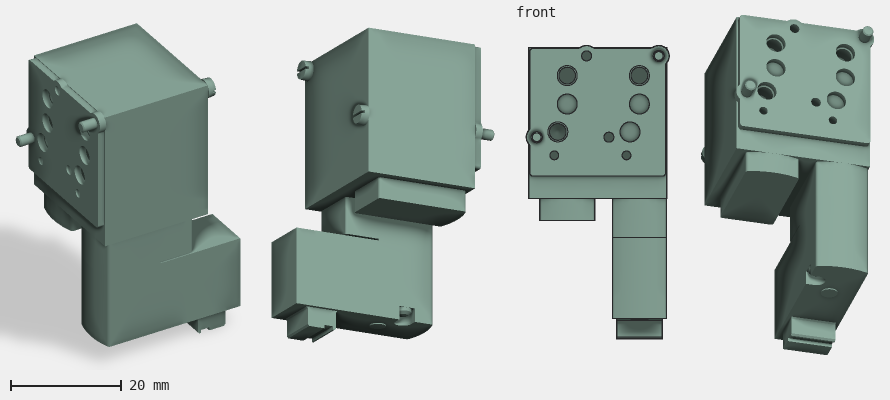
import cadquery as cq

VALVE_PITCH = 13.0

HOUSING_WIDTH = 24.95
HOUSING_DEPTH = 21.65
HOUSING_HEIGHT = 27.25

PLATE_WIDTH = 24.4
PLATE_THICKNESS = 1.3
PLATE_BOTTOM = 4.0
PLATE_SETBACK = 0.15
PLATE_TOP = HOUSING_HEIGHT - PLATE_SETBACK
PLATE_CORNER_RADIUS = 0.55
EAR_RADIUS = 1.9

UPPER_MOUNT_X = 11.0
UPPER_MOUNT_Z = 25.7
LOWER_MOUNT_Z = 11.05
SCREW_POINTS = [(UPPER_MOUNT_X, UPPER_MOUNT_Z), (-UPPER_MOUNT_X, LOWER_MOUNT_Z)]
SPARE_TOP_POINT = (UPPER_MOUNT_X - VALVE_PITCH, UPPER_MOUNT_Z)
SPARE_LOWER_POINT = (VALVE_PITCH - UPPER_MOUNT_X, LOWER_MOUNT_Z)
EAR_POINTS = SCREW_POINTS + [SPARE_TOP_POINT]

MOUNT_HOLE_DIAMETER = 1.8
PIN_HOLE_DIAMETER = 1.6
BLIND_HOLE_DEPTH = 2.65
PIN_HOLE_POINTS = [(-7.85, 7.8), (-7.85 + VALVE_PITCH, 7.8)]

PORT_DIAMETER = 3.6
BORE_DIAMETER = 3.0
BORE_DEPTH = 3.2
DRILL_TIP_DEPTH = 0.9
UPPER_PORT_X = -5.5
UPPER_PORT_Z = 22.15
MIDDLE_PORT_Z = 17.05
LOWER_PORT_X = -7.2
LOWER_PORT_Z = 12.0
UPPER_PORTS = [(UPPER_PORT_X, UPPER_PORT_Z), (UPPER_PORT_X + VALVE_PITCH, UPPER_PORT_Z)]
MIDDLE_PORTS = [(UPPER_PORT_X, MIDDLE_PORT_Z), (UPPER_PORT_X + VALVE_PITCH, MIDDLE_PORT_Z)]
DRILLED_PORT = (LOWER_PORT_X, LOWER_PORT_Z)
LOWER_PORTS = [DRILLED_PORT, (LOWER_PORT_X + VALVE_PITCH, LOWER_PORT_Z)]

SCREW_DIAMETER = 2.0
SCREW_TIP_DIAMETER = 1.6
SCREW_TIP_Y = -4.25
HEAD_BASE_DIAMETER = 3.7
HEAD_END_DIAMETER = 3.45
HEAD_LENGTH = 1.55
DRIVE_SLOT_WIDTH = 0.5
DRIVE_SLOT_DEPTH = 0.65

RIGHT_STUB_X = 7.5
LEFT_STUB_X = RIGHT_STUB_X - VALVE_PITCH
LEFT_STUB_WIDTH = 9.95
RIGHT_STUB_WIDTH = 9.8
STUB_DEPTH = 18.45
LEFT_STUB_BOTTOM = -3.95
RIGHT_STUB_BOTTOM = -7.0
FRONT_BULGE = 0.85
FRONT_CORNER_RADIUS = 0.6
LEFT_BACK_RADIUS = 0.5
RIGHT_BACK_RADIUS = 0.35

CONNECTOR_DEPTH = 28.45
CONNECTOR_BOTTOM = -21.65
STEP_Y = 11.75
STEP_HEIGHT = 0.3

RECESS_WIDTH = 3.2
RECESS_HEIGHT = 2.55
RECESS_Y = 6.05
RECESS_X = RIGHT_STUB_X - RIGHT_STUB_WIDTH / 2 + RECESS_WIDTH / 2
CLAMP_SCREW_DIAMETER = 3.05
CLAMP_SCREW_END_DIAMETER = 1.8
CLAMP_SCREW_RIM = 0.65
CLAMP_SCREW_HEIGHT = 1.1

DISC_DIAMETER = 3.0
DISC_THICKNESS = 0.2
DISC_Y = 9.45
GLAND_WIDTH = 8.25
GLAND_DEPTH = 5.75
GLAND_Y = 22.9
GLAND_HEIGHT = 3.65
GLAND_FLARE = 0.2
GLAND_FLARE_HEIGHT = 0.3
GLAND_CHAMFER = 0.3
GLAND_NOTCH_FRONT_Y = 20.7
GLAND_NOTCH_WIDTH = 1.75
GLAND_NOTCH_DEPTH = 0.65


def rods(points, diameter, front_y, back_y):
    """Cylinders along Y, from front_y to back_y, at the given (x, z) points."""
    plane = cq.Workplane("XZ", origin=(0, front_y, 0))
    return plane.pushPoints(points).circle(diameter / 2).extrude(front_y - back_y)


def drill_tip(point):
    """Cone that ends a drilled bore."""
    x, z = point
    profile = [(0, BORE_DEPTH), (BORE_DIAMETER / 2, BORE_DEPTH), (0, BORE_DEPTH + DRILL_TIP_DEPTH)]
    return cq.Workplane("XY").polyline(profile).close().revolve(360, (0, 0), (0, 1)).translate((x, 0, z))


def make_housing():
    block = cq.Workplane("XY").box(
        HOUSING_WIDTH, HOUSING_DEPTH, HOUSING_HEIGHT, centered=(True, False, False)
    )
    block = block.cut(rods(SCREW_POINTS, SCREW_DIAMETER, 0, HOUSING_DEPTH))
    block = block.cut(rods([SPARE_TOP_POINT, SPARE_LOWER_POINT], MOUNT_HOLE_DIAMETER, 0, BLIND_HOLE_DEPTH))
    block = block.cut(rods(PIN_HOLE_POINTS, PIN_HOLE_DIAMETER, 0, BLIND_HOLE_DEPTH))
    block = block.cut(rods(UPPER_PORTS + [DRILLED_PORT], BORE_DIAMETER, 0, BORE_DEPTH))
    return block.cut(drill_tip(DRILLED_PORT))


def make_plate():
    sheet = cq.Workplane("XY").box(
        PLATE_WIDTH, PLATE_THICKNESS, PLATE_TOP - PLATE_BOTTOM, centered=(True, False, False)
    )
    sheet = sheet.translate((0, -PLATE_THICKNESS, PLATE_BOTTOM))
    sheet = sheet.union(rods(EAR_POINTS, 2 * EAR_RADIUS, -PLATE_THICKNESS, 0))
    corners = sheet.edges("|Y").filter(lambda edge: abs(edge.Center().x) < HOUSING_WIDTH / 2)
    sheet = corners.fillet(PLATE_CORNER_RADIUS)

    ports = UPPER_PORTS + MIDDLE_PORTS + LOWER_PORTS
    sheet = sheet.cut(rods(ports, PORT_DIAMETER, -PLATE_THICKNESS, 0))
    sheet = sheet.cut(rods(SCREW_POINTS, SCREW_DIAMETER, -PLATE_THICKNESS, 0))
    spares = [SPARE_TOP_POINT, SPARE_LOWER_POINT]
    sheet = sheet.cut(rods(spares, MOUNT_HOLE_DIAMETER, -PLATE_THICKNESS, 0))
    return sheet.cut(rods(PIN_HOLE_POINTS, PIN_HOLE_DIAMETER, -PLATE_THICKNESS, 0))


def make_screw(point):
    """Slotted screw along Y, with a slightly tapered head on the back of the housing."""
    x, z = point
    tip_chamfer = (SCREW_DIAMETER - SCREW_TIP_DIAMETER) / 2
    head_end_y = HOUSING_DEPTH + HEAD_LENGTH
    profile = [
        (0, SCREW_TIP_Y),
        (SCREW_TIP_DIAMETER / 2, SCREW_TIP_Y),
        (SCREW_DIAMETER / 2, SCREW_TIP_Y + tip_chamfer),
        (SCREW_DIAMETER / 2, HOUSING_DEPTH),
        (HEAD_BASE_DIAMETER / 2, HOUSING_DEPTH),
        (HEAD_END_DIAMETER / 2, head_end_y),
        (0, head_end_y),
    ]
    screw = cq.Workplane("XY").polyline(profile).close().revolve(360, (0, 0), (0, 1))
    slot = cq.Workplane("XY").box(HEAD_BASE_DIAMETER, 2 * DRIVE_SLOT_DEPTH, DRIVE_SLOT_WIDTH)
    screw = screw.cut(slot.translate((0, head_end_y, 0)))
    return screw.translate((x, 0, z))


def bulged_block(center_x, width, depth, top_z, bottom_z):
    """Upright block whose front face bulges out to Y = 0, with rounded front corners."""
    left = center_x - width / 2
    right = center_x + width / 2
    block = (
        cq.Workplane("XY", origin=(0, 0, bottom_z))
        .moveTo(left, depth)
        .lineTo(left, FRONT_BULGE)
        .threePointArc((center_x, 0), (right, FRONT_BULGE))
        .lineTo(right, depth)
        .close()
        .extrude(top_z - bottom_z)
    )
    return block.edges("|Z and (not >Y)").fillet(FRONT_CORNER_RADIUS)


def make_left_stub():
    stub = bulged_block(LEFT_STUB_X, LEFT_STUB_WIDTH, STUB_DEPTH, 0, LEFT_STUB_BOTTOM)
    return stub.edges("|Z and >Y").fillet(LEFT_BACK_RADIUS)


def make_right_stub():
    stub = bulged_block(RIGHT_STUB_X, RIGHT_STUB_WIDTH, STUB_DEPTH, 0, RIGHT_STUB_BOTTOM)
    return stub.edges("|Z and >Y").fillet(RIGHT_BACK_RADIUS)


def make_connector():
    body = bulged_block(
        RIGHT_STUB_X, RIGHT_STUB_WIDTH, CONNECTOR_DEPTH, RIGHT_STUB_BOTTOM, CONNECTOR_BOTTOM
    )
    step = cq.Workplane("XY").box(
        RIGHT_STUB_WIDTH, CONNECTOR_DEPTH - STEP_Y, STEP_HEIGHT, centered=(True, False, False)
    )
    body = body.cut(step.translate((RIGHT_STUB_X, STEP_Y, RIGHT_STUB_BOTTOM - STEP_HEIGHT)))
    recess = (
        cq.Workplane("XY", origin=(RECESS_X, RECESS_Y, CONNECTOR_BOTTOM))
        .slot2D(3 * RECESS_WIDTH, RECESS_WIDTH)
        .extrude(RECESS_HEIGHT)
        .translate((-RECESS_WIDTH, 0, 0))
    )
    return body.cut(recess)


def make_clamp_screw():
    """Screw head with a conical end, hanging from the ceiling of the recess."""
    profile = [
        (0, 0),
        (CLAMP_SCREW_DIAMETER / 2, 0),
        (CLAMP_SCREW_DIAMETER / 2, -CLAMP_SCREW_RIM),
        (CLAMP_SCREW_END_DIAMETER / 2, -CLAMP_SCREW_HEIGHT),
        (0, -CLAMP_SCREW_HEIGHT),
    ]
    head = cq.Workplane("XZ").polyline(profile).close().revolve(360, (0, 0), (0, 1))
    return head.translate((RECESS_X, RECESS_Y, CONNECTOR_BOTTOM + RECESS_HEIGHT))


def make_disc():
    plane = cq.Workplane("XY", origin=(RIGHT_STUB_X, DISC_Y, CONNECTOR_BOTTOM))
    return plane.circle(DISC_DIAMETER / 2).extrude(-DISC_THICKNESS)


def make_gland():
    """Cable gland: one profile in YZ, flared at its top and notched across its underside."""
    front = GLAND_Y - GLAND_DEPTH / 2
    back = GLAND_Y + GLAND_DEPTH / 2
    top = CONNECTOR_BOTTOM
    bottom = top - GLAND_HEIGHT
    notch_back = GLAND_NOTCH_FRONT_Y + GLAND_NOTCH_WIDTH
    profile = [
        (front - GLAND_FLARE, top),
        (front, top - GLAND_FLARE_HEIGHT),
        (front, bottom + GLAND_CHAMFER),
        (front + GLAND_CHAMFER, bottom),
        (GLAND_NOTCH_FRONT_Y, bottom),
        (GLAND_NOTCH_FRONT_Y, bottom + GLAND_NOTCH_DEPTH),
        (notch_back, bottom + GLAND_NOTCH_DEPTH),
        (notch_back, bottom),
        (back - GLAND_CHAMFER, bottom),
        (back, bottom + GLAND_CHAMFER),
        (back, top - GLAND_FLARE_HEIGHT),
        (back + GLAND_FLARE, top),
    ]
    plane = cq.Workplane("YZ", origin=(RIGHT_STUB_X, 0, 0))
    return plane.polyline(profile).close().extrude(GLAND_WIDTH / 2, both=True)


housing = make_housing()
plate = make_plate()
screws = [make_screw(point) for point in SCREW_POINTS]
left_stub = make_left_stub()
right_stub = make_right_stub()
connector = make_connector()
clamp_screw = make_clamp_screw()
disc = make_disc()
gland = make_gland()

result = cq.Compound.makeCompound(
    [
        housing.val(),
        plate.val(),
        *[screw.val() for screw in screws],
        left_stub.val(),
        right_stub.val(),
        connector.val(),
        clamp_screw.val(),
        disc.val(),
        gland.val(),
    ]
)